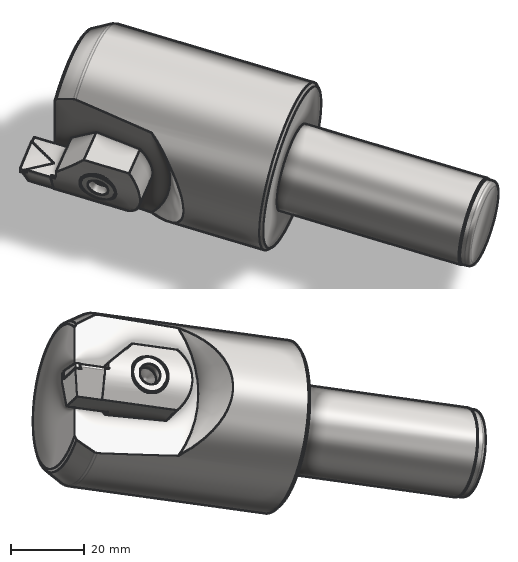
import cadquery as cq
import math

body_diameter = 48.0
body_radius = body_diameter / 2
nose_x = 5.0
nose_face_radius = 20.0
nose_edge_x = 5.5
nose_edge_radius = 20.9
nose_cone_end_x = 10.7
nose_cone_end_radius = 23.8
body_start_x = 11.5
body_end_x = 70.0
body_end_chamfer = 0.9
shank_radius = 12.5
shank_end_x = 126.0
shank_relief_radius = 12.2
shank_relief_x = 123.0
shank_relief_taper = 0.4
shank_end_round = 1.3

seat_front_y = -12.1
seat_tilt = math.tan(math.radians(5.6))
runout_center_x = 3.0
runout_radius = 36.5
runout_depth_y = -15.0
runout_spread = 0.82
runout_top_y = -6.3
runout_bottom_y = -27.7

cartridge_radius = 25.0
cartridge_height = 17.8
cartridge_half_height = cartridge_height / 2
cartridge_front_x = 10.1
cartridge_step_z = 1.6
cartridge_bevel_end_x = 17.6
cartridge_arc_start_x = 30.9
cartridge_end_x = 34.7
toe_arc_radius = 12.6

screw_x = 22.3
screw_rim_diameter = 10.7
screw_face_diameter = 10.0
screw_face_y = -24.8
screw_groove_y = -24.0
socket_rim_diameter = 6.0
socket_diameter = 5.9
socket_rim_depth = 0.1
socket_depth = 3.2
socket_tip_depth = 4.4

tip_inner_y = -15.1
tip_outer_y = -25.7
tip_inner_z = 0.5
tip_outer_z = -0.3
tip_land_z = -1.0
tip_bottom_outer_y = -23.2
tip_top_x = 0.1
tip_bottom_x = 1.5
tip_root_x = 8.8

inlay_inner_y = -16.8
overall_width = 50.0
inlay_outer_y = body_radius - overall_width
inlay_apex_x = 8.2
inlay_apex_y = -21.3
inlay_corner_x = 1.1
inlay_inner_z = 0.69
inlay_outer_z = -0.3
inlay_bottom_z = -1.6


def seat_y(x):
    return seat_front_y - seat_tilt * (x - nose_x)


def make_below_seat():
    """Everything on the -Y side of the tilted seat plane."""
    reach = 3 * body_radius
    start_x = -body_radius
    return (
        cq.Workplane("XY")
        .workplane(offset=-reach)
        .polyline([
            (start_x, seat_y(start_x)),
            (reach, seat_y(reach)),
            (reach, -reach),
            (start_x, -reach),
        ])
        .close()
        .extrude(2 * reach)
    )


def make_seat_cutter():
    def radius_at(y):
        return runout_radius + runout_spread * (runout_depth_y - y)

    cone = (
        cq.Workplane("XY", origin=(runout_center_x, 0, 0))
        .polyline([
            (0, runout_top_y),
            (radius_at(runout_top_y), runout_top_y),
            (radius_at(runout_bottom_y), runout_bottom_y),
            (0, runout_bottom_y),
        ])
        .close()
        .revolve(360, (0, 0, 0), (0, 1, 0))
    )
    return cone.intersect(make_below_seat())


def make_holder():
    round_middle = shank_end_round * (1 - math.sqrt(0.5))
    turned = (
        cq.Workplane("XY")
        .moveTo(nose_x, 0)
        .lineTo(nose_x, nose_face_radius)
        .lineTo(nose_edge_x, nose_edge_radius)
        .lineTo(nose_cone_end_x, nose_cone_end_radius)
        .lineTo(body_start_x, body_radius)
        .lineTo(body_end_x - body_end_chamfer, body_radius)
        .lineTo(body_end_x, body_radius - body_end_chamfer)
        .lineTo(body_end_x, shank_radius)
        .lineTo(shank_relief_x, shank_radius)
        .lineTo(shank_relief_x + shank_relief_taper, shank_relief_radius)
        .lineTo(shank_end_x - shank_end_round, shank_relief_radius)
        .threePointArc(
            (shank_end_x - round_middle, shank_relief_radius - round_middle),
            (shank_end_x, shank_relief_radius - shank_end_round),
        )
        .lineTo(shank_end_x, 0)
        .close()
        .revolve(360, (0, 0, 0), (1, 0, 0))
    )
    return turned.cut(make_seat_cutter())


def make_turned_envelope():
    return cq.Workplane("YZ").circle(cartridge_radius).extrude(body_end_x)


def make_cartridge_block():
    """Block on the seat, its outer face turned concentric with the holder."""
    toe_end_x = cartridge_front_x + toe_arc_radius - math.sqrt(
        toe_arc_radius**2 - cartridge_half_height**2
    )
    outline = (
        cq.Workplane("XZ")
        .moveTo(cartridge_front_x, 0)
        .lineTo(cartridge_front_x, cartridge_step_z)
        .lineTo(cartridge_bevel_end_x, cartridge_half_height)
        .lineTo(cartridge_arc_start_x, cartridge_half_height)
        .threePointArc(
            (cartridge_end_x, 0),
            (cartridge_arc_start_x, -cartridge_half_height),
        )
        .lineTo(toe_end_x, -cartridge_half_height)
        .radiusArc((cartridge_front_x, 0), toe_arc_radius)
        .close()
        .extrude(2 * cartridge_radius)
    )
    outline = outline.union(make_tip_root())
    return outline.intersect(make_turned_envelope()).intersect(make_below_seat())


def make_screw_hole():
    return (
        cq.Workplane("XZ", origin=(screw_x, screw_groove_y, 0))
        .circle(screw_rim_diameter / 2)
        .extrude(screw_groove_y + cartridge_radius)
    )


def make_screw_head():
    """Flat head, nearly flush with the outer face."""
    return (
        cq.Workplane("XZ", origin=(screw_x, screw_groove_y, 0))
        .circle(screw_face_diameter / 2)
        .extrude(screw_groove_y - screw_face_y)
    )


def make_socket():
    """Round socket with a slightly widened rim and a conical bottom."""
    return (
        cq.Workplane("XY", origin=(screw_x, 0, 0))
        .polyline([
            (0, screw_face_y),
            (socket_rim_diameter / 2, screw_face_y),
            (socket_diameter / 2, screw_face_y + socket_rim_depth),
            (socket_diameter / 2, screw_face_y + socket_depth),
            (0, screw_face_y + socket_tip_depth),
        ])
        .close()
        .revolve(360, (0, 0, 0), (0, 1, 0))
    )


def make_tip():
    bar = (
        cq.Workplane("YZ")
        .polyline([
            (tip_inner_y, tip_inner_z),
            (tip_outer_y, tip_outer_z),
            (tip_outer_y, tip_land_z),
            (tip_bottom_outer_y, -cartridge_half_height),
            (tip_inner_y, -cartridge_half_height),
        ])
        .close()
        .extrude(cartridge_front_x)
    )
    side = (
        cq.Workplane("XZ")
        .polyline([
            (tip_top_x, tip_inner_z),
            (cartridge_front_x, tip_inner_z),
            (cartridge_front_x, tip_outer_z),
            (tip_root_x, tip_outer_z),
            (tip_root_x, -cartridge_half_height),
            (tip_bottom_x, -cartridge_half_height),
            (tip_top_x, inlay_bottom_z),
        ])
        .close()
        .extrude(2 * cartridge_radius)
    )
    return bar.intersect(side)


def make_tip_root():
    """Squares off the curved toe behind the tip, out past the turned face."""
    return (
        cq.Workplane("XZ", origin=(0, tip_inner_y, 0))
        .moveTo(tip_root_x, tip_outer_z)
        .lineTo(cartridge_bevel_end_x, tip_outer_z)
        .lineTo(cartridge_bevel_end_x, -cartridge_half_height)
        .lineTo(tip_root_x, -cartridge_half_height)
        .close()
        .extrude(cartridge_radius)
    )


def make_inlay():
    plan = (
        cq.Workplane("XY")
        .workplane(offset=inlay_bottom_z)
        .polyline([
            (0, inlay_inner_y),
            (inlay_apex_x, inlay_apex_y),
            (inlay_corner_x, inlay_outer_y),
            (0, inlay_outer_y),
        ])
        .close()
        .extrude(inlay_inner_z - inlay_bottom_z)
    )
    slope = (
        cq.Workplane("YZ")
        .polyline([
            (inlay_inner_y, inlay_inner_z),
            (inlay_outer_y, inlay_outer_z),
            (inlay_outer_y, inlay_bottom_z),
            (inlay_inner_y, inlay_bottom_z),
        ])
        .close()
        .extrude(inlay_apex_x)
    )
    return plan.intersect(slope)


def make_cartridge():
    block = make_cartridge_block()
    block = block.cut(make_screw_hole()).union(make_screw_head()).cut(make_socket())
    return block.union(make_tip()).union(make_inlay())


holder = make_holder()
cartridge = make_cartridge()
result = cq.Compound.makeCompound([holder.val(), cartridge.val()])